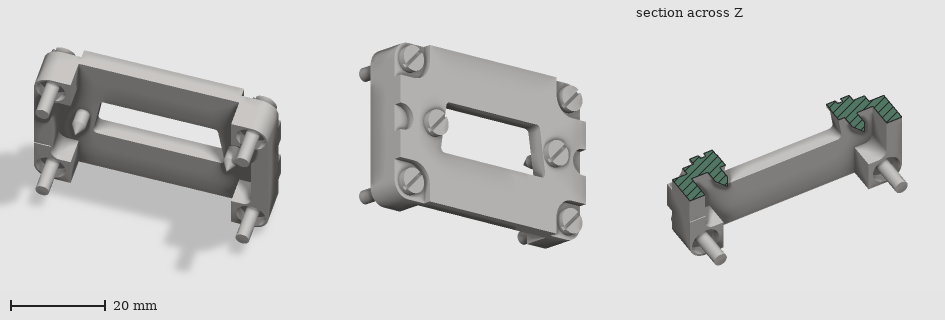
import cadquery as cq
import math


LENGTH = 51.5
HEIGHT = 34.5
CORNER_RADIUS = 3.75
FRAME_DEPTH = 9.65
PLATE_THICKNESS = 3.75
RAIL_WIDTH = CORNER_RADIUS
BOSS_LENGTH = 8.1
BOSS_HEIGHT = 7.3
POCKET_RADIUS = 2.0

WINDOW_HEIGHT = 11.35
WINDOW_TOP_WIDTH = 25.75
WINDOW_BOTTOM_WIDTH = 29.2
WINDOW_RADIUS = 1.0

SHANK_DIAMETER = 3.0
HEAD_DIAMETER = 5.6
SLOT_WIDTH = 0.85
SLOT_DEPTH = 0.95
SLOT_ANGLE = 45

SCREW_X = LENGTH / 2 - CORNER_RADIUS
SCREW_Z = HEIGHT / 2 - CORNER_RADIUS
SCREW_TIP_Y = -16.0
RECESS_DEPTH = 1.9
RECESS_RADIUS = 4.4
RECESS_SIZE = CORNER_RADIUS + RECESS_RADIUS
BORE_DIAMETER = 6.55
BORE_DEPTH = 2.4

PIN_X = 16.65
PIN_HEAD_HEIGHT = 1.75
PIN_SHOULDER_Y = -7.1
PIN_TIP_HALF_ANGLE = 30
PIN_TIP_LENGTH = SHANK_DIAMETER / 2 / math.tan(math.radians(PIN_TIP_HALF_ANGLE))

NOTCH_WIDTH = 5.8
NOTCH_LENGTH = 3.6

LABEL_HEIGHT = 12.3
LABEL_DEPTH = 0.2

SIDES = (-1, 1)
CORNERS = [(side_x, side_z) for side_x in SIDES for side_z in SIDES]


def front_sketch(y):
    """Workplane at the given Y whose extrusions grow toward -Y (local axes are X and Z)."""
    return cq.Workplane("XZ", origin=(0, y, 0))


def cylinder(x, z, y_back, y_front, diameter):
    """Cylinder along Y between two Y levels."""
    return front_sketch(y_back).center(x, z).circle(diameter / 2).extrude(y_back - y_front)


def make_frame():
    """Rounded block hollowed from the front, leaving the plate, two rails and four bosses."""
    block = front_sketch(0).rect(LENGTH, HEIGHT).extrude(FRAME_DEPTH)
    block = block.edges("|Y").fillet(CORNER_RADIUS)
    hollow_depth = FRAME_DEPTH - PLATE_THICKNESS
    between_bosses = (
        front_sketch(-PLATE_THICKNESS)
        .rect(LENGTH - 2 * BOSS_LENGTH, HEIGHT)
        .extrude(hollow_depth)
    )
    between_rails = (
        front_sketch(-PLATE_THICKNESS)
        .rect(LENGTH - 2 * RAIL_WIDTH, HEIGHT - 2 * BOSS_HEIGHT)
        .extrude(hollow_depth)
        .edges("|Y")
        .fillet(POCKET_RADIUS)
    )
    return block.cut(between_bosses).cut(between_rails)


def make_window():
    """Trapezoidal cutter for the connector opening."""
    half_top = WINDOW_TOP_WIDTH / 2
    half_bottom = WINDOW_BOTTOM_WIDTH / 2
    half_height = WINDOW_HEIGHT / 2
    outline = [
        (-half_bottom, -half_height),
        (half_bottom, -half_height),
        (half_top, half_height),
        (-half_top, half_height),
    ]
    window = front_sketch(0).polyline(outline).close().extrude(PLATE_THICKNESS)
    return window.edges("|Y").fillet(WINDOW_RADIUS)


def make_corner_recess(side_x, side_z):
    """Corner cutter in the back face, its inner corner rounded about the screw axis."""
    recess = (
        front_sketch(0)
        .center(side_x * (LENGTH - RECESS_SIZE) / 2, side_z * (HEIGHT - RECESS_SIZE) / 2)
        .rect(RECESS_SIZE, RECESS_SIZE)
        .extrude(RECESS_DEPTH)
    )
    inner_x = "<X" if side_x > 0 else ">X"
    inner_z = "<Z" if side_z > 0 else ">Z"
    return recess.faces(inner_x).edges("|Y").edges(inner_z).fillet(RECESS_RADIUS)


def make_notch(side_x):
    """Round-ended cutter in the back face, open to a short side."""
    return (
        front_sketch(0)
        .center(side_x * LENGTH / 2, 0)
        .slot2D(2 * NOTCH_LENGTH, NOTCH_WIDTH)
        .extrude(RECESS_DEPTH)
    )


def make_head(x, z, y_top, y_seat):
    """Round screw head with a diagonal driver slot across its back face."""
    head = cylinder(x, z, y_top, y_seat, HEAD_DIAMETER)
    slot = (
        front_sketch(y_top)
        .center(x, z)
        .transformed(rotate=(0, 0, -SLOT_ANGLE))
        .rect(2 * HEAD_DIAMETER, SLOT_WIDTH)
        .extrude(SLOT_DEPTH)
    )
    return head.cut(slot)


def make_corner_screw(x, z):
    """Slotted screw, its head flush with the back face and its shank passing the boss."""
    shank = cylinder(x, z, -RECESS_DEPTH, SCREW_TIP_Y, SHANK_DIAMETER)
    return make_head(x, z, 0, -RECESS_DEPTH).union(shank)


def make_guide_pin(x):
    """Slotted pin with a conical tip, its head standing on the back face."""
    shank = cylinder(x, 0, 0, PIN_SHOULDER_Y, SHANK_DIAMETER)
    cone = cq.Solid.makeCone(
        SHANK_DIAMETER / 2, 0, PIN_TIP_LENGTH, cq.Vector(x, PIN_SHOULDER_Y, 0), cq.Vector(0, -1, 0)
    )
    return make_head(x, 0, PIN_HEAD_HEIGHT, 0).union(shank).union(cq.Workplane(cone))


def make_label_field():
    """Shallow cutter across the front of the -X rail."""
    return (
        front_sketch(LABEL_DEPTH - FRAME_DEPTH)
        .center((RAIL_WIDTH - LENGTH) / 2, 0)
        .rect(RAIL_WIDTH, LABEL_HEIGHT)
        .extrude(LABEL_DEPTH)
    )


part = make_frame().cut(make_window()).cut(make_label_field())

for side_x, side_z in CORNERS:
    screw_x = side_x * SCREW_X
    screw_z = side_z * SCREW_Z
    part = part.cut(make_corner_recess(side_x, side_z))
    part = part.cut(cylinder(screw_x, screw_z, BORE_DEPTH - FRAME_DEPTH, -FRAME_DEPTH, BORE_DIAMETER))
    part = part.union(make_corner_screw(screw_x, screw_z))

for side_x in SIDES:
    part = part.cut(make_notch(side_x))
    part = part.union(make_guide_pin(side_x * PIN_X))

result = part